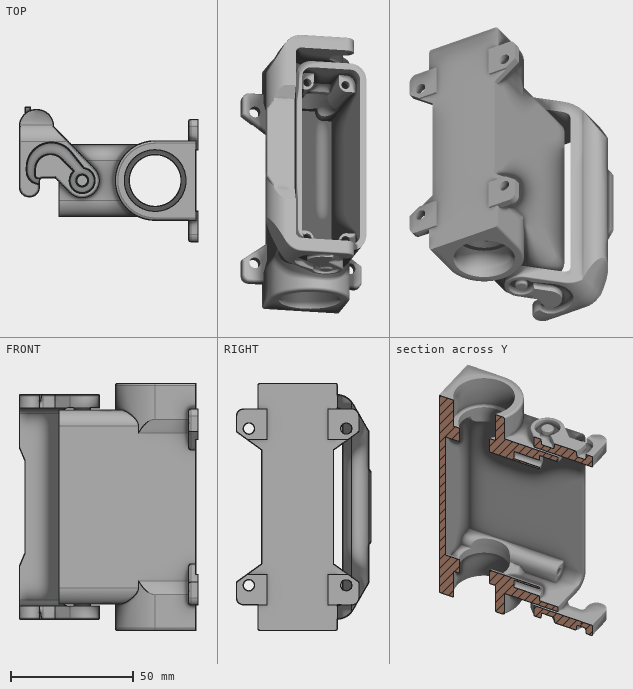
import cadquery as cq
import math


HOUSING_LENGTH = 56.0
HOUSING_HALF_Y = 14.75
HOUSING_HALF_Z = 39.65
HOUSING_CORNER_RADIUS = 6.6
WALL = 2.65
BACK_WALL = 3.0
CAVITY_HALF_Y = HOUSING_HALF_Y - WALL
CAVITY_HALF_Z = HOUSING_HALF_Z - WALL

BOSS_X = 39.35
BOSS_RADIUS = 16.25
BOSS_END_Z = 50.5
BOSS_EDGE_RADIUS = 1.0
BOSS_SLOPE_TOP_Z = 35.8
BOSS_SLOPE_FOOT_Z = 30.2
ENTRY_RADIUS = 12.6
ENTRY_FLOOR_Z = 37.2
THROAT_RADIUS = 10.55

SHELF_FRONT_Z = 34.3
SHELF_BACK_Z = 33.7
SHELF_FRONT_X = BOSS_X - BOSS_RADIUS

POST_FRONT_X = 8.7
POST_INNER_Y = 5.3
POST_INNER_Z = 30.0
POST_CORNER_RADIUS = 3.3
SCREW_Y = 8.0
SCREW_Z = 32.9
SCREW_RADIUS = 1.7
SCREW_DEPTH = 12.0

LUG_FRONT_X = 53.0
LUG_BACK_X = 56.9
LUG_HALF_Y = 25.0
LUG_TOP_Z = 40.0
LUG_INNER_Y = 12.5
LUG_SIDE_FOOT_Z = 30.7
LUG_BODY_FOOT_Z = 23.3
LUG_PAD_FOOT_Z = 27.5
LUG_CORNER_RADIUS = 2.9
LUG_EDGE_RADIUS = 1.0
LUG_HOLE_Y = 19.9
LUG_HOLE_Z = 32.0
LUG_HOLE_RADIUS = 2.25

PIVOT_X = 9.55
PIVOT_RADIUS = 7.0
ARM_TOP_Z = 45.9
ARM_BOTTOM_Z = 40.4
LEVER_FRONT_X = -16.1
DOME_RADIUS = 7.0
DOME_Y = 22.05
HOOK_RADIUS = 4.1
HOOK_CENTER_Y = -2.6
NOTCH_Y = 1.1
NOTCH_CORNER_RADIUS = 1.4
LEVER_EDGE_RADIUS = 0.5
BAR_INNER_Y = 18.4
BAR_INNER_RADIUS = 2.3
BAR_SLOPE_START_Y = 20.4
BAR_SLOPE_ANGLE = 60.0
BAR_CORNER_RADIUS = 7.85

GRIP_FACE_X = -13.9
GRIP_FACE_HALF_Z = 19.0
GRIP_SLOPE_HALF_Z = 24.2
GRIP_TAB_THICKNESS = 2.3
GRIP_TAB_CHAMFER = 0.4
GRIP_TAB_TIP_Y = 30.0
GRIP_TAB_TIP_HALF_Z = 14.2
GRIP_TAB_SHOULDER_Y = 26.7

RECESS_FLOOR_Z = 43.2
RECESS_DRAFT_ANGLE = 7.0
RECESS_PIVOT_RADIUS = 5.3
RECESS_OUTER_CENTER = (-3.0, 5.4)
RECESS_OUTER_RADIUS = 10.3
RECESS_OUTER_FOOT = (10.6, 4.9)
RECESS_END_Y = -1.6
RECESS_INNER_CENTER = (-3.4, 4.5)
RECESS_INNER_RADIUS = 6.1
RECESS_INNER_CORNER = 0.9

PIN_RADIUS = 2.6
PIN_CHAMFER = 0.4
WASHER_RADIUS = 3.35

DIAGONAL = math.sqrt(0.5)
OVERLAP = 1.0


def mirrored_z(shape):
    """The shape together with its mirror image below Z = 0."""
    return shape.union(shape.mirror("XY"))


def mirrored_y(shape):
    """The shape together with its mirror image across Y = 0."""
    return shape.union(shape.mirror("XZ"))


def box_between(low, high):
    size = [b - a for a, b in zip(low, high)]
    return cq.Workplane("XY").box(*size, centered=False).translate(low)


def disc(x, radius, bottom_z, top_z):
    return cq.Workplane("XY", origin=(x, 0, bottom_z)).circle(radius).extrude(top_z - bottom_z)


def rounded_block(half_y, half_z, radius, start_x, end_x):
    block = box_between((start_x, -half_y, -half_z), (end_x, half_y, half_z))
    return block.edges("|X").fillet(radius)


def diagonal_offset(center, radius):
    """Point on a circle in the (+X, +Y) diagonal direction."""
    return (center[0] + radius * DIAGONAL, center[1] + radius * DIAGONAL)


def tangent_point(start, center, radius, turn):
    """Point where a line from start touches a circle, turned +1 or -1 from the center line."""
    dx = start[0] - center[0]
    dy = start[1] - center[1]
    angle = math.atan2(dy, dx) + turn * math.acos(radius / math.hypot(dx, dy))
    return (center[0] + radius * math.cos(angle), center[1] + radius * math.sin(angle))


def boss():
    half_round = (
        cq.Workplane("XY", origin=(0, 0, BOSS_SLOPE_FOOT_Z))
        .moveTo(HOUSING_LENGTH, -BOSS_RADIUS)
        .lineTo(BOSS_X, -BOSS_RADIUS)
        .threePointArc((BOSS_X - BOSS_RADIUS, 0), (BOSS_X, BOSS_RADIUS))
        .lineTo(HOUSING_LENGTH, BOSS_RADIUS)
        .close()
        .extrude(BOSS_END_Z - BOSS_SLOPE_FOOT_Z)
    )
    half_round = half_round.faces(">Z").edges("not >X").fillet(BOSS_EDGE_RADIUS)
    sloped_sides = (
        cq.Workplane("YZ")
        .polyline([
            (-HOUSING_HALF_Y, BOSS_SLOPE_FOOT_Z),
            (HOUSING_HALF_Y, BOSS_SLOPE_FOOT_Z),
            (BOSS_RADIUS, BOSS_SLOPE_TOP_Z),
            (BOSS_RADIUS, BOSS_END_Z),
            (-BOSS_RADIUS, BOSS_END_Z),
            (-BOSS_RADIUS, BOSS_SLOPE_TOP_Z),
        ])
        .close()
        .extrude(HOUSING_LENGTH)
    )
    return half_round.intersect(sloped_sides)


def housing_block():
    return rounded_block(HOUSING_HALF_Y, HOUSING_HALF_Z, HOUSING_CORNER_RADIUS, 0, HOUSING_LENGTH)


def shelf():
    """Wedge-fronted thickening of the cavity roof, trimmed to the housing outline."""
    rise = CAVITY_HALF_Z - SHELF_FRONT_Z
    back_x = HOUSING_LENGTH - OVERLAP
    block = (
        cq.Workplane("XZ", origin=(0, CAVITY_HALF_Y + OVERLAP, 0))
        .polyline([
            (SHELF_FRONT_X, CAVITY_HALF_Z),
            (SHELF_FRONT_X + rise, SHELF_FRONT_Z),
            (back_x, SHELF_BACK_Z),
            (back_x, CAVITY_HALF_Z + OVERLAP),
            (SHELF_FRONT_X, CAVITY_HALF_Z + OVERLAP),
        ])
        .close()
        .extrude(2 * (CAVITY_HALF_Y + OVERLAP))
    )
    return block.intersect(housing_block())


def post():
    """Post in the +Y +Z cavity corner, trimmed to the housing outline."""
    block = box_between(
        (POST_FRONT_X, POST_INNER_Y, POST_INNER_Z),
        (HOUSING_LENGTH - OVERLAP, HOUSING_HALF_Y, HOUSING_HALF_Z),
    )
    block = block.edges("|X and <Y and <Z").fillet(POST_CORNER_RADIUS)
    screw_hole = (
        cq.Workplane("YZ", origin=(POST_FRONT_X, SCREW_Y, SCREW_Z))
        .circle(SCREW_RADIUS)
        .extrude(SCREW_DEPTH)
    )
    return block.intersect(housing_block()).cut(screw_hole)


def lug():
    """Lug on the +Y +Z side, with a raised pad behind the housing back face."""
    body_slope = (LUG_SIDE_FOOT_Z - LUG_BODY_FOOT_Z) / (LUG_HALF_Y - HOUSING_HALF_Y)
    inner_foot_z = LUG_BODY_FOOT_Z - body_slope * (HOUSING_HALF_Y - LUG_INNER_Y)
    plate = (
        cq.Workplane("YZ", origin=(LUG_FRONT_X, 0, 0))
        .polyline([
            (LUG_INNER_Y, LUG_TOP_Z),
            (LUG_HALF_Y, LUG_TOP_Z),
            (LUG_HALF_Y, LUG_SIDE_FOOT_Z),
            (LUG_INNER_Y, inner_foot_z),
        ])
        .close()
        .extrude(LUG_BACK_X - LUG_FRONT_X)
    )
    plate = plate.edges("|X and >Y and >Z").fillet(LUG_CORNER_RADIUS)
    plate = plate.faces("<X").edges("not <Y").fillet(LUG_EDGE_RADIUS)
    pad_relief = box_between((HOUSING_LENGTH, 0, 0), (LUG_BACK_X, LUG_HALF_Y, LUG_PAD_FOOT_Z))
    hole = (
        cq.Workplane("YZ", origin=(LUG_FRONT_X, LUG_HOLE_Y, LUG_HOLE_Z))
        .circle(LUG_HOLE_RADIUS)
        .extrude(LUG_BACK_X - LUG_FRONT_X)
    )
    return plate.cut(pad_relief).cut(hole)


def housing():
    shell = housing_block().union(mirrored_z(boss()))
    cavity = rounded_block(
        CAVITY_HALF_Y, CAVITY_HALF_Z, HOUSING_CORNER_RADIUS - WALL, 0, HOUSING_LENGTH - BACK_WALL
    )
    shell = shell.cut(cavity)
    shell = shell.union(mirrored_z(shelf()))
    shell = shell.union(mirrored_z(mirrored_y(post())))
    shell = shell.cut(disc(BOSS_X, THROAT_RADIUS, -BOSS_END_Z, BOSS_END_Z))
    shell = shell.cut(mirrored_z(disc(BOSS_X, ENTRY_RADIUS, ENTRY_FLOOR_Z, BOSS_END_Z)))
    return shell.union(mirrored_z(mirrored_y(lug())))


def lever_outline():
    """Solid with the lever outline in XY, as tall as the lever."""
    pivot = (PIVOT_X, 0)
    lower_tangent = diagonal_offset(pivot, -PIVOT_RADIUS)
    dome_x = LEVER_FRONT_X + DOME_RADIUS
    dome_right_x = dome_x + DOME_RADIUS
    shoulder = (dome_right_x, DOME_Y)
    upper_tangent = tangent_point(shoulder, pivot, PIVOT_RADIUS, -1)
    hook_x = LEVER_FRONT_X + HOOK_RADIUS
    notch_x = hook_x + HOOK_RADIUS
    return (
        cq.Workplane("XY", origin=(0, 0, -ARM_TOP_Z))
        .moveTo(LEVER_FRONT_X, HOOK_CENTER_Y)
        .lineTo(LEVER_FRONT_X, DOME_Y)
        .threePointArc((dome_x, DOME_Y + DOME_RADIUS), shoulder)
        .lineTo(*upper_tangent)
        .threePointArc(
            (PIVOT_X + PIVOT_RADIUS * DIAGONAL, -PIVOT_RADIUS * DIAGONAL),
            lower_tangent,
        )
        .lineTo(sum(lower_tangent) - NOTCH_Y, NOTCH_Y)
        .lineTo(notch_x + NOTCH_CORNER_RADIUS, NOTCH_Y)
        .radiusArc((notch_x, NOTCH_Y - NOTCH_CORNER_RADIUS), -NOTCH_CORNER_RADIUS)
        .lineTo(notch_x, HOOK_CENTER_Y)
        .threePointArc((hook_x, HOOK_CENTER_Y - HOOK_RADIUS), (LEVER_FRONT_X, HOOK_CENTER_Y))
        .close()
        .extrude(2 * ARM_TOP_Z)
    )


def lever_side_profile():
    """U-shaped side profile: arms along Y, crossbar along Z, sloped outer corners."""
    low_y = HOOK_CENTER_Y - 2 * HOOK_RADIUS
    tip_y = DOME_Y + DOME_RADIUS + OVERLAP
    tip_z = ARM_TOP_Z - (tip_y - BAR_SLOPE_START_Y) * math.tan(math.radians(BAR_SLOPE_ANGLE))
    length = PIVOT_X + PIVOT_RADIUS - LEVER_FRONT_X
    outer = (
        cq.Workplane("YZ", origin=(LEVER_FRONT_X, 0, 0))
        .polyline([
            (low_y, -ARM_TOP_Z),
            (BAR_SLOPE_START_Y, -ARM_TOP_Z),
            (tip_y, -tip_z),
            (tip_y, tip_z),
            (BAR_SLOPE_START_Y, ARM_TOP_Z),
            (low_y, ARM_TOP_Z),
        ])
        .close()
        .extrude(length)
    )
    corner_y = BAR_SLOPE_START_Y
    near_corners = cq.selectors.BoxSelector(
        (LEVER_FRONT_X - OVERLAP, corner_y - OVERLAP, -ARM_TOP_Z - OVERLAP),
        (LEVER_FRONT_X + length + OVERLAP, corner_y + OVERLAP, ARM_TOP_Z + OVERLAP),
    )
    outer = outer.edges("|X").edges(near_corners).fillet(BAR_CORNER_RADIUS)
    inner = box_between(
        (LEVER_FRONT_X, low_y, -ARM_BOTTOM_Z),
        (LEVER_FRONT_X + length, BAR_INNER_Y, ARM_BOTTOM_Z),
    )
    inner = inner.edges("|X and >Y").fillet(BAR_INNER_RADIUS)
    return outer, inner


def grip_relief():
    """Flat with sloped ends that sets the front face of the crossbar back."""
    return (
        cq.Workplane("XZ", origin=(0, DOME_Y + DOME_RADIUS, 0))
        .polyline([
            (LEVER_FRONT_X, -GRIP_SLOPE_HALF_Z),
            (GRIP_FACE_X, -GRIP_FACE_HALF_Z),
            (GRIP_FACE_X, GRIP_FACE_HALF_Z),
            (LEVER_FRONT_X, GRIP_SLOPE_HALF_Z),
        ])
        .close()
        .extrude(DOME_Y + DOME_RADIUS - BAR_INNER_Y + OVERLAP)
    )


def grip_tab():
    tab = (
        cq.Workplane("YZ", origin=(GRIP_FACE_X, 0, 0))
        .polyline([
            (BAR_INNER_Y, -GRIP_FACE_HALF_Z),
            (GRIP_TAB_SHOULDER_Y, -GRIP_FACE_HALF_Z),
            (GRIP_TAB_TIP_Y, -GRIP_TAB_TIP_HALF_Z),
            (GRIP_TAB_TIP_Y, GRIP_TAB_TIP_HALF_Z),
            (GRIP_TAB_SHOULDER_Y, GRIP_FACE_HALF_Z),
            (BAR_INNER_Y, GRIP_FACE_HALF_Z),
        ])
        .close()
        .extrude(GRIP_TAB_THICKNESS)
    )
    return tab.faces("<X").edges("not <Y").chamfer(GRIP_TAB_CHAMFER)


def arm_recess():
    """Curved channel around the pivot and along the arm, open at the hook notch."""
    notch_x = LEVER_FRONT_X + 2 * HOOK_RADIUS
    end_x = notch_x + OVERLAP
    outer_left = (RECESS_OUTER_CENTER[0] - RECESS_OUTER_RADIUS, RECESS_OUTER_CENTER[1])
    outer_mid = (
        RECESS_OUTER_CENTER[0] - RECESS_OUTER_RADIUS * DIAGONAL,
        RECESS_OUTER_CENTER[1] + RECESS_OUTER_RADIUS * DIAGONAL,
    )
    outer_end = tangent_point(RECESS_OUTER_FOOT, RECESS_OUTER_CENTER, RECESS_OUTER_RADIUS, 1)
    inner_left = (RECESS_INNER_CENTER[0] - RECESS_INNER_RADIUS, RECESS_INNER_CENTER[1])
    inner_mid = (
        RECESS_INNER_CENTER[0] - RECESS_INNER_RADIUS * DIAGONAL,
        RECESS_INNER_CENTER[1] + RECESS_INNER_RADIUS * DIAGONAL,
    )
    inner_end = diagonal_offset(RECESS_INNER_CENTER, RECESS_INNER_RADIUS)
    end_radius = notch_x - outer_left[0]
    outer_foot = (outer_left[0], RECESS_END_Y + end_radius)
    depth = ARM_TOP_Z - RECESS_FLOOR_Z
    pivot_side_x = PIVOT_X - RECESS_PIVOT_RADIUS * DIAGONAL
    channel = (
        cq.Workplane("XY", origin=(0, 0, ARM_TOP_Z))
        .moveTo(end_x, RECESS_END_Y)
        .lineTo(notch_x, RECESS_END_Y)
        .radiusArc(outer_foot, end_radius)
        .lineTo(*outer_left)
        .threePointArc(outer_mid, outer_end)
        .lineTo(*RECESS_OUTER_FOOT)
        .lineTo(PIVOT_X, 0)
        .lineTo(pivot_side_x, sum(inner_end) - pivot_side_x)
        .lineTo(*inner_end)
        .threePointArc(inner_mid, inner_left)
        .lineTo(inner_left[0], NOTCH_Y + RECESS_INNER_CORNER)
        .radiusArc((inner_left[0] + RECESS_INNER_CORNER, NOTCH_Y), -RECESS_INNER_CORNER)
        .lineTo(end_x, NOTCH_Y)
        .close()
        .extrude(-depth, taper=RECESS_DRAFT_ANGLE)
    )
    pivot_pocket = (
        cq.Workplane("XY", origin=(PIVOT_X, 0, ARM_TOP_Z))
        .circle(RECESS_PIVOT_RADIUS)
        .extrude(-depth, taper=RECESS_DRAFT_ANGLE)
    )
    return channel.union(pivot_pocket)


def lever():
    outer, inner = lever_side_profile()
    blank = lever_outline().intersect(outer)
    crossbar = blank.intersect(
        box_between(
            (LEVER_FRONT_X, DOME_Y, -ARM_TOP_Z),
            (PIVOT_X, DOME_Y + DOME_RADIUS, ARM_TOP_Z),
        )
    )
    arms = blank.cut(crossbar)
    for end in (">Z", "<Z"):
        arms = arms.faces(end).edges("<X or (not |X)").fillet(LEVER_EDGE_RADIUS)
    body = arms.union(crossbar)
    body = body.cut(inner).cut(grip_relief()).union(grip_tab())
    return body.cut(mirrored_z(arm_recess()))


def pin():
    shank = disc(PIVOT_X, PIN_RADIUS, ARM_BOTTOM_Z, ARM_TOP_Z).faces(">Z").edges().chamfer(PIN_CHAMFER)
    return shank.union(disc(PIVOT_X, WASHER_RADIUS, CAVITY_HALF_Z + OVERLAP, RECESS_FLOOR_Z))


result = housing().union(lever()).union(mirrored_z(pin()))